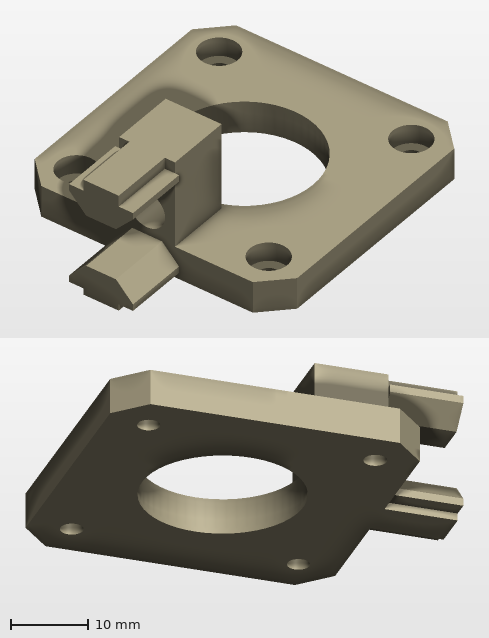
import cadquery as cq

flange_size = 42.3
flange_thickness = 5.0
corner_chamfer = 4.1
motor_bore_diameter = 22.05

screw_spacing = 30.97
screw_pattern_offset = -0.125
tight_screw_diameter = 3.0
loose_screw_diameter = 3.1
screw_head_diameter = 6.0
screw_floor = 2.0

bracket_depth = 10.1
block_width = 9.0
overall_height = 18.8
block_bore_diameter = 5.8
block_bore_height = 9.02

rail_length = 10.0
rail_width = 10.3
rail_neck_width = 5.7
rail_crest_width = 4.8
rail_lip_height = 1.05
rail_lip_offset = 8.0
rail_crest_offset = 4.1

front_face = -flange_size / 2
split_plane = front_face + bracket_depth


def screw_hole(x, y, diameter):
    """Cutter for one through hole with its counterbore open at the top of the flange."""
    shank = cq.Workplane("XY", origin=(x, y, 0)).circle(diameter / 2).extrude(flange_thickness)
    head = (
        cq.Workplane("XY", origin=(x, y, screw_floor))
        .circle(screw_head_diameter / 2)
        .extrude(flange_thickness - screw_floor)
    )
    return shank.union(head)


def flange_blank():
    """Chamfered square flange with the motor bore and the screw holes."""
    blank = (
        cq.Workplane("XY")
        .rect(flange_size, flange_size)
        .extrude(flange_thickness)
        .edges("|Z")
        .chamfer(corner_chamfer)
    )
    motor_bore = cq.Workplane("XY").circle(motor_bore_diameter / 2).extrude(flange_thickness)
    blank = blank.cut(motor_bore)
    for x_side in (-1, 1):
        for y_side in (-1, 1):
            x = x_side * screw_spacing / 2
            y = y_side * screw_spacing / 2 + screw_pattern_offset
            diameter = loose_screw_diameter if x_side == y_side else tight_screw_diameter
            blank = blank.cut(screw_hole(x, y, diameter))
    return blank


def front_zone():
    """Box enclosing the strip of the flange that belongs to the bracket."""
    return cq.Workplane("XY").box(
        flange_size, bracket_depth, flange_thickness, centered=(True, False, False)
    ).translate((0, front_face, 0))


def rail(side, base_height):
    """Slot rail above (side = 1) or below (side = -1) the block bore, its neck ending at base_height."""
    crest_height = block_bore_height + side * rail_crest_offset
    lip_height = block_bore_height + side * rail_lip_offset
    shoulder_height = lip_height - side * rail_lip_height
    half_profile = [
        (rail_crest_width / 2, crest_height),
        (rail_width / 2, shoulder_height),
        (rail_width / 2, lip_height),
        (rail_neck_width / 2, lip_height),
        (rail_neck_width / 2, base_height),
    ]
    mirrored_half = [(-x, z) for x, z in reversed(half_profile)]
    return (
        cq.Workplane("XZ", origin=(0, front_face, 0))
        .polyline(half_profile + mirrored_half)
        .close()
        .extrude(rail_length)
    )


def bracket_body():
    """Front strip, upright block with its bore, and the two rails."""
    strip = flange_blank().intersect(front_zone())
    block = cq.Workplane("XY").box(
        block_width, bracket_depth, overall_height, centered=(True, False, False)
    ).translate((0, front_face, 0))
    block_bore = (
        cq.Workplane("XZ", origin=(0, split_plane, block_bore_height))
        .circle(block_bore_diameter / 2)
        .extrude(bracket_depth)
    )
    lower_rail = rail(-1, 0)
    upper_rail = rail(1, overall_height)
    return strip.union(block).cut(block_bore).union(lower_rail).union(upper_rail)


motor_plate = flange_blank().cut(front_zone())
bracket = bracket_body()

result = cq.Compound.makeCompound([motor_plate.val(), bracket.val()])